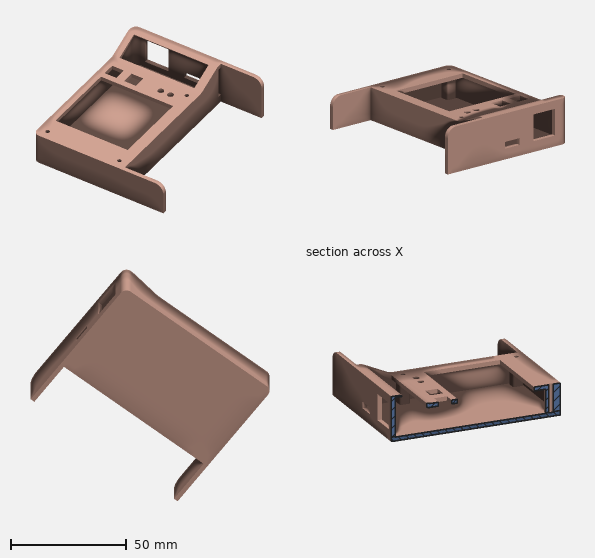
import cadquery as cq
import math

length = 80.0
arm_reach = 67.05
body_width = 46.0
wall = 2.0
back_height = 21.0
deck_height = 15.0
corner_radius = 3.05
deck_thickness = 2.0
back_roof_thickness = 0.8

slope_foot_y = 62.5
slope_top_y = 75.5
slope_blend = 6.4

arm_tip_radius = 4.5

screen_left, screen_front, screen_width, screen_depth = 3.4, 12.65, 37.1, 36.0
panel_left, panel_front, panel_width, panel_depth = 3.4, 63.45, 38.4, 11.4

control_row_y = 54.6
button_size = 6.0
button_xs = (6.4, 16.4)
lamp_diameter = 3.0
lamp_xs = (30.3, 35.3)

post_size = 5.05
post_corner_radius = 1.0
screw_diameter = 2.0
rear_post_y = 58.0

port_sill = 5.0
socket_left, socket_width, socket_height = 7.05, 12.0, 12.2
slot_left, slot_width, slot_height = 27.05, 8.0, 3.05
notch_width = 2.0
notch_sill = 4.0

inner_right = body_width - wall
inner_back = length - wall
front_post_y = wall + post_size / 2
left_post_x = wall + post_size / 2
right_post_x = inner_right - post_size / 2
screw_places = (
    (left_post_x, front_post_y),
    (right_post_x, front_post_y),
    (right_post_x, rear_post_y),
)
slope_angle = math.atan2(back_height - deck_height, slope_top_y - slope_foot_y)


def box(x, y, z, size_x, size_y, size_z):
    """Box with its lowest corner at (x, y, z)."""
    return cq.Workplane("XY").box(size_x, size_y, size_z, centered=False).translate((x, y, z))


def footprint(bottom, height):
    """U-shaped plan, a rectangle with two arms towards +X, rounded on the -X side."""
    block = box(0, 0, bottom, arm_reach, length, height)
    block = block.edges("|Z and <X").fillet(corner_radius)
    gap = box(body_width, wall, bottom, arm_reach, length - 2 * wall, height)
    return block.cut(gap)


def side_profile():
    """Solid bounded by the deck, the sloped panel and the top of the back wall."""
    prism = (
        cq.Workplane("YZ")
        .moveTo(0, 0)
        .lineTo(length, 0)
        .lineTo(length, back_height)
        .lineTo(slope_top_y, back_height)
        .lineTo(slope_foot_y, deck_height)
        .lineTo(0, deck_height)
        .close()
        .extrude(arm_reach)
    )
    for y, z in ((slope_top_y, back_height), (slope_foot_y, deck_height)):
        edge = cq.selectors.NearestToPointSelector((arm_reach / 2, y, z))
        prism = prism.edges(edge).fillet(slope_blend)
    return prism


def arm_tip_cutter(y, top):
    """Waste outside the rounded upper corner of an arm tip."""
    corner_x = arm_reach - arm_tip_radius
    corner_z = top - arm_tip_radius
    square = box(corner_x, y, corner_z, arm_tip_radius, wall, arm_tip_radius)
    round_end = (
        cq.Workplane("XZ", origin=(corner_x, y, corner_z))
        .circle(arm_tip_radius)
        .extrude(-wall)
    )
    return square.cut(round_end)


def cavity():
    """Hollow under the deck and the sloped panel, open at the bottom."""
    ceiling_z = deck_height - deck_thickness
    top_z = back_height - back_roof_thickness
    prism = (
        cq.Workplane("YZ", origin=(wall, 0, 0))
        .moveTo(wall, wall)
        .lineTo(inner_back, wall)
        .lineTo(inner_back, top_z)
        .lineTo(slope_top_y, top_z)
        .lineTo(slope_foot_y, ceiling_z)
        .lineTo(wall, ceiling_z)
        .close()
        .extrude(inner_right - wall)
    )
    return prism.edges("|Z and <X and (<Y or >Y)").fillet(corner_radius)


def screw_post(x, y):
    """Square post with rounded corners, from the base plate up into the deck."""
    height = deck_height - deck_thickness / 2 - wall
    post = box(x - post_size / 2, y - post_size / 2, wall, post_size, post_size, height)
    return post.edges("|Z").fillet(post_corner_radius)


def hole(x, y, diameter):
    """Vertical round hole through the housing."""
    return cq.Workplane("XY", origin=(x, y, 0)).circle(diameter / 2).extrude(back_height)


def panel_opening():
    """Opening in the sloped panel: its lower edge is plumb, its upper edge square to the panel."""
    tilt = math.tan(slope_angle)
    upper_y = panel_front + panel_depth
    upper_z = deck_height + (upper_y - slope_foot_y) * tilt
    low_z = deck_height - deck_thickness
    return (
        cq.Workplane("YZ", origin=(panel_left, 0, 0))
        .moveTo(panel_front, low_z)
        .lineTo(upper_y + deck_thickness * tilt, upper_z - deck_thickness)
        .lineTo(upper_y - deck_thickness * tilt, upper_z + deck_thickness)
        .lineTo(panel_front, upper_z + deck_thickness)
        .close()
        .extrude(panel_width)
    )


def make_housing():
    housing = footprint(wall, back_height - wall).intersect(side_profile())
    housing = housing.cut(arm_tip_cutter(0, deck_height))
    housing = housing.cut(arm_tip_cutter(inner_back, back_height))
    housing = housing.cut(cavity())

    for x, y in screw_places:
        housing = housing.union(screw_post(x, y))
    for x, y in screw_places:
        housing = housing.cut(hole(x, y, screw_diameter))

    housing = housing.cut(box(screen_left, screen_front, wall, screen_width, screen_depth, back_height))
    housing = housing.cut(panel_opening())
    for x in button_xs:
        left = x - button_size / 2
        front = control_row_y - button_size / 2
        housing = housing.cut(box(left, front, wall, button_size, button_size, back_height))
    for x in lamp_xs:
        housing = housing.cut(hole(x, control_row_y, lamp_diameter))

    housing = housing.cut(box(socket_left, inner_back, port_sill, socket_width, wall, socket_height))
    housing = housing.cut(box(slot_left, inner_back, port_sill, slot_width, wall, slot_height))

    notch_height = back_height - deck_thickness - notch_sill
    notch = box(inner_right, inner_back - notch_width, notch_sill, wall, notch_width, notch_height)
    return housing.cut(notch)


def make_base():
    """Flat plate that closes the housing from below."""
    return footprint(0, wall)


housing = make_housing()
base = make_base()

result = cq.Compound.makeCompound([housing.val(), base.val()])